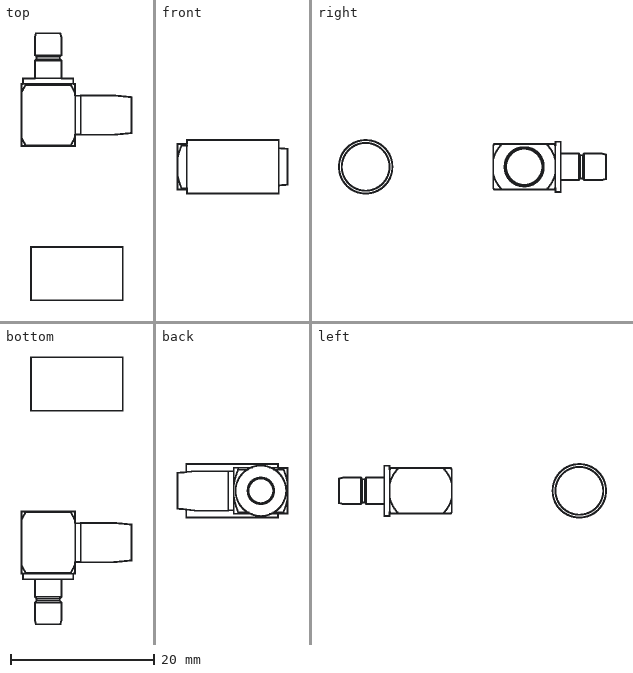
import cadquery as cq
import math

BODY_X = 7.5
BODY_Y = 8.7
BODY_Z = 6.38
EDGE_CHAMFER_Y = 0.15
EDGE_CHAMFER_Z = 0.22
CORNER_RADIUS = 4.45
CORNER_ANGLE = 35.0

FLANGE_DIAMETER = 7.05
FLANGE_LENGTH = 0.8
JACK_RADIUS = 1.85
JACK_LENGTH = 6.3
JACK_TIP_INSET = 0.15
JACK_TIP_LENGTH = 0.6
GROOVE_START = 2.45
GROOVE_FLANK = 0.22
GROOVE_FLOOR = 0.35
GROOVE_DEPTH = 0.22

STEM_DIAMETER = 5.52
STEM_LENGTH = 7.9
COLLAR_DIAMETER = 5.45
COLLAR_LENGTH = 0.8
STEM_TAPER_LENGTH = 2.5
STEM_TIP_DIAMETER = 5.05

SLEEVE_DIAMETER = 7.5
SLEEVE_BORE = 6.65
SLEEVE_LENGTH = 12.83
SLEEVE_OFFSET_X = 1.35
OVERALL_Y = 37.3

half_x = BODY_X / 2
half_y = BODY_Y / 2
half_z = BODY_Z / 2
flange_face = half_y + FLANGE_LENGTH
jack_end = flange_face + JACK_LENGTH


def make_block():
    """Block with bevelled long edges and corners turned conically about X."""
    profile = [
        (-half_y, -half_z + EDGE_CHAMFER_Z),
        (-half_y + EDGE_CHAMFER_Y, -half_z),
        (half_y - EDGE_CHAMFER_Y, -half_z),
        (half_y, -half_z + EDGE_CHAMFER_Z),
        (half_y, half_z - EDGE_CHAMFER_Z),
        (half_y - EDGE_CHAMFER_Y, half_z),
        (-half_y + EDGE_CHAMFER_Y, half_z),
        (-half_y, half_z - EDGE_CHAMFER_Z),
    ]
    block = cq.Workplane("YZ").workplane(offset=-half_x).polyline(profile).close().extrude(BODY_X)

    envelope_radius = math.hypot(half_y, half_z)
    cut_length = (envelope_radius - CORNER_RADIUS) * math.tan(math.radians(CORNER_ANGLE))
    envelope = (
        cq.Workplane("XY")
        .moveTo(-half_x, 0)
        .lineTo(-half_x, CORNER_RADIUS)
        .lineTo(-half_x + cut_length, envelope_radius)
        .lineTo(half_x - cut_length, envelope_radius)
        .lineTo(half_x, CORNER_RADIUS)
        .lineTo(half_x, 0)
        .close()
        .revolve(360, (0, 0, 0), (1, 0, 0))
    )
    return block.intersect(envelope)


def make_jack():
    """Flange and grooved plug, turned about Y."""
    floor_radius = JACK_RADIUS - GROOVE_DEPTH
    groove_start = flange_face + GROOVE_START
    floor_start = groove_start + GROOVE_FLANK
    floor_end = floor_start + GROOVE_FLOOR
    groove_end = floor_end + GROOVE_FLANK
    profile = [
        (0, 0),
        (JACK_RADIUS, 0),
        (JACK_RADIUS, groove_start),
        (floor_radius, floor_start),
        (floor_radius, floor_end),
        (JACK_RADIUS, groove_end),
        (JACK_RADIUS, jack_end - JACK_TIP_LENGTH),
        (JACK_RADIUS - JACK_TIP_INSET, jack_end),
        (0, jack_end),
    ]
    plug = cq.Workplane("XY").polyline(profile).close().revolve(360, (0, 0, 0), (0, 1, 0))
    flange = cq.Workplane("XZ").circle(FLANGE_DIAMETER / 2).extrude(-FLANGE_LENGTH)
    return plug.union(flange.translate((0, half_y, 0)))


def make_stem():
    """Stepped, taper-ended cable stem, turned about X."""
    collar_end = half_x + COLLAR_LENGTH
    stem_end = half_x + STEM_LENGTH
    profile = [
        (0, 0),
        (0, COLLAR_DIAMETER / 2),
        (collar_end, COLLAR_DIAMETER / 2),
        (collar_end, STEM_DIAMETER / 2),
        (stem_end - STEM_TAPER_LENGTH, STEM_DIAMETER / 2),
        (stem_end, STEM_TIP_DIAMETER / 2),
        (stem_end, 0),
    ]
    return cq.Workplane("XY").polyline(profile).close().revolve(360, (0, 0, 0), (1, 0, 0))


def make_connector():
    return make_block().union(make_jack()).union(make_stem())


def make_sleeve():
    """Plain tube lying along X, apart from the connector on the -Y side."""
    start_x = -half_x + SLEEVE_OFFSET_X
    center_y = jack_end - OVERALL_Y + SLEEVE_DIAMETER / 2
    tube = cq.Workplane("YZ").circle(SLEEVE_DIAMETER / 2).circle(SLEEVE_BORE / 2).extrude(SLEEVE_LENGTH)
    return tube.translate((start_x, center_y, 0))


connector = make_connector()
sleeve = make_sleeve()

result = cq.Compound.makeCompound([connector.val(), sleeve.val()])